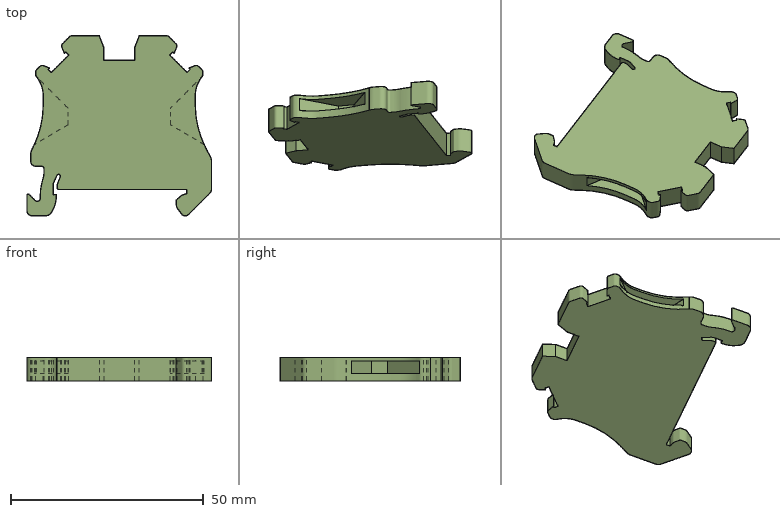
import cadquery as cq
import math

length = 48.0
height = 46.85
thickness = 6.15
middle_x = length / 2

notch_half_width = 4.0
notch_mouth_half_width = 5.2
notch_floor_y = 40.45
notch_flare_y = 43.75

shoulder_x = 11.4
shoulder_radius = 0.95
slot_centre_x = 6.35
slot_centre_y = height - (shoulder_x - slot_centre_x)
slot_mouth_half_width = 2.7
slot_floor_half_width = 3.15
slot_lip_depth = 2.1
slot_floor_depth = 3.2
slot_flare_angle = 22.5
slot_lip_radius = 0.85

ear_x = 2.25
ear_top_radius = 0.95
ear_bottom_y = 36.55
ear_bottom_radius = 1.15
waist_x = 4.2
waist_top_y = 33.5
waist_top_radius = 7.3
flank_bend_y = 22.6
flank_radius = 24.35
flank_angle = 28.6

left_x = 0.95
left_bottom_y = 12.85
left_bottom_radius = 1.45
skirt_radius = 3.05

leg_top_x = 4.4
leg_inner_radius = 0.6
leg_bend_y = 10.5
leg_bend_radius = 5.75
leg_bottom_x = 3.45
leg_bottom_y = 7.3
leg_bottom_radius = 14.4
hook_tip_y = 6.2
hook_tip_radius = 0.36
hook_valley_y = 2.8
hook_valley_radius = 0.75
foot_corner_radius = 1.45
foot_bottom_x = 5.8
foot_bottom_radius = 1.9
foot_right_x = 7.7
foot_right_y = 2.9
foot_right_radius = 7.5
foot_catch_y = 5.5
foot_catch_tip_y = 5.65
foot_catch_radius = 0.15

slit_left_x = 6.85
slit_left_y = 8.4
slit_bend_radius = 1.9
slit_angle = 24.0
slit_end_x = 8.25
slit_end_y = 10.35
slit_end_radius = 0.425
slit_right_x = 7.85
slit_right_y = 8.2
slit_mouth_radius = 0.4

seat_y = 6.85
seat_right_x = 41.45
seat_catch_y = 5.8
nose_top_x = 40.2
nose_top_y = 5.4
nose_top_radius = 1.45
nose_x = 38.8
nose_upper_y = 4.15
nose_lower_y = 2.35
nose_upper_radius = 0.25
nose_lower_radius = 1.9
nose_bottom_x = 40.55
nose_bottom_radius = 0.95
heel_y = 6.4
heel_radius = 1.65
heel_bottom_radius = 1.2

entry_bottom_z = 2.0
entry_top_z = 5.2
entry_upper_y = 36.25
entry_floor_upper_y = 27.95
entry_floor_lower_y = 23.7
entry_lower_y = 18.5
entry_upper_x = 2.45
entry_lower_x = 1.8
entry_floor_x = entry_upper_x + (entry_upper_y - entry_floor_upper_y)


def mirrored(corners):
    """Corners reflected across the middle of the housing, in reverse order."""
    return [(length - x, y, radius) for x, y, radius in reversed(corners)]


def toward(start, end, distance):
    """Point at a distance from start on the way to end."""
    ratio = distance / math.dist(start, end)
    return (start[0] + ratio * (end[0] - start[0]), start[1] + ratio * (end[1] - start[1]))


def rounded_outline(corners):
    """Closed outline through (x, y, radius) corners, each rounded by a tangent arc."""
    path = None
    for index, (x, y, radius) in enumerate(corners):
        corner = (x, y)
        before = corners[index - 1][:2]
        after = corners[(index + 1) % len(corners)][:2]
        turn = math.pi - math.acos(
            ((before[0] - x) * (after[0] - x) + (before[1] - y) * (after[1] - y))
            / (math.dist(before, corner) * math.dist(after, corner))
        )
        tangent_length = radius * math.tan(turn / 2)
        arc_start = toward(corner, before, tangent_length)
        path = path.lineTo(*arc_start) if path else cq.Workplane("XY").moveTo(*arc_start)
        if radius > 0:
            arc_end = toward(corner, after, tangent_length)
            chord_middle = toward(arc_start, arc_end, math.dist(arc_start, arc_end) / 2)
            arc_middle = toward(chord_middle, corner, radius * (1 - math.cos(turn / 2)))
            path = path.threePointArc(arc_middle, arc_end)
    return path.close()


def slot_point(along, depth, radius=0):
    """Corner given along the left shoulder (upward positive) and by depth below it."""
    diagonal = math.sqrt(0.5)
    return (
        slot_centre_x + (along + depth) * diagonal,
        slot_centre_y + (along - depth) * diagonal,
        radius,
    )


def left_upper_corners():
    """Left half of the housing from the flank up to the screwdriver notch."""
    slot_flare = slot_lip_depth * math.tan(math.radians(slot_flare_angle))
    slot_outer_half_width = slot_mouth_half_width + slot_flare
    ear_shoulder_y = slot_centre_y - (slot_centre_x - ear_x)
    return [
        (waist_x, flank_bend_y, flank_radius),
        (waist_x, waist_top_y, waist_top_radius),
        (ear_x, ear_bottom_y, ear_bottom_radius),
        (ear_x, ear_shoulder_y, ear_top_radius),
        slot_point(-slot_outer_half_width, 0, slot_lip_radius),
        slot_point(-slot_mouth_half_width, slot_lip_depth),
        slot_point(-slot_floor_half_width, slot_lip_depth),
        slot_point(-slot_floor_half_width, slot_floor_depth),
        slot_point(slot_floor_half_width, slot_floor_depth),
        slot_point(slot_floor_half_width, slot_lip_depth),
        slot_point(slot_mouth_half_width, slot_lip_depth),
        slot_point(slot_outer_half_width, 0, slot_lip_radius),
        (shoulder_x, height, shoulder_radius),
        (middle_x - notch_mouth_half_width, height, 0),
        (middle_x - notch_half_width, notch_flare_y, 0),
        (middle_x - notch_half_width, notch_floor_y, 0),
    ]


def skirt_y(distance_out):
    """Height at which the sloping flank has moved outward from the waist by a distance."""
    return flank_bend_y - distance_out / math.tan(math.radians(flank_angle))


def right_lower_corners():
    """Right skirt, heel and fixed hook, down to the rail seat."""
    return [
        (length, skirt_y(waist_x), skirt_radius),
        (length, heel_y, heel_radius),
        (length - heel_y, 0, heel_bottom_radius),
        (nose_bottom_x, 0, nose_bottom_radius),
        (nose_x, nose_lower_y, nose_lower_radius),
        (nose_x, nose_upper_y, nose_upper_radius),
        (nose_top_x, nose_top_y, nose_top_radius),
        (seat_right_x, seat_catch_y, 0),
        (seat_right_x, seat_y, 0),
    ]


def slit_corners():
    """Flexing slit between the rail seat and the foot, with a round end."""
    angle = math.radians(slit_angle)
    along_x = slit_end_radius * math.sin(angle)
    along_y = slit_end_radius * math.cos(angle)
    return [
        (slit_right_x, seat_y, slit_mouth_radius),
        (slit_right_x, slit_right_y, slit_bend_radius),
        (slit_end_x + along_x + along_y, slit_end_y + along_y - along_x, slit_end_radius),
        (slit_end_x + along_x - along_y, slit_end_y + along_y + along_x, slit_end_radius),
        (slit_left_x, slit_left_y, slit_bend_radius),
        (slit_left_x, foot_catch_y, 0),
    ]


def foot_corners():
    """Spring foot, its V hook and the shoulder above it."""
    return [
        (foot_right_x, foot_catch_tip_y, foot_catch_radius),
        (foot_right_x, foot_right_y, foot_right_radius),
        (foot_bottom_x, 0, foot_bottom_radius),
        (0, 0, foot_corner_radius),
        (0, hook_tip_y, hook_tip_radius),
        (leg_bottom_x, hook_valley_y, hook_valley_radius),
        (leg_bottom_x, leg_bottom_y, leg_bottom_radius),
        (leg_top_x, leg_bend_y, leg_bend_radius),
        (leg_top_x, left_bottom_y, leg_inner_radius),
        (left_x, left_bottom_y, left_bottom_radius),
        (left_x, skirt_y(waist_x - left_x), skirt_radius),
    ]


def wire_entry():
    """Cutter for the left wire entry: a tapered pocket open toward the flank."""
    return (
        cq.Workplane("XY")
        .workplane(offset=entry_bottom_z)
        .moveTo(0, entry_upper_y)
        .lineTo(entry_upper_x, entry_upper_y)
        .lineTo(entry_floor_x, entry_floor_upper_y)
        .lineTo(entry_floor_x, entry_floor_lower_y)
        .lineTo(entry_lower_x, entry_lower_y)
        .lineTo(0, entry_lower_y)
        .close()
        .extrude(entry_top_z - entry_bottom_z)
    )


upper_left = left_upper_corners()
outline = upper_left + mirrored(upper_left) + right_lower_corners() + slit_corners() + foot_corners()
housing = rounded_outline(outline).extrude(thickness)

left_entry = wire_entry()
right_entry = left_entry.mirror("YZ", (middle_x, 0, 0))
result = housing.cut(left_entry).cut(right_entry)